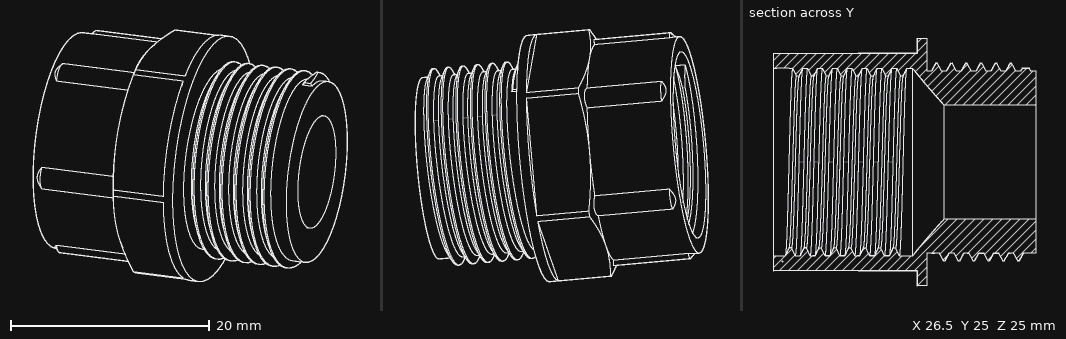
import cadquery as cq
import math

total_length = 26.5
hex_start = 8.55
flange_start = 14.5
flange_end = 15.5
bore_bottom = 14.05
cone_end = 17.22

collar_diameter = 21.97
flange_diameter = 25.0
spigot_diameter = 18.42
hex_chamfer_length = 0.6
corner_count = 6

bore_diameter = 18.9
passage_diameter = 11.45

rib_start = 0.4
rib_height = 0.48
rib_width = 2.33
rib_end_chamfer = 0.53

pitch = 1.5
thread_height = 0.8
thread_base_width = 1.0
male_crest_width = 0.15
female_crest_width = 0.26
thread_overlap = 0.08
end_flat_length = 9.55
thread_end_height = 0.26
male_start = 16.16
male_start_angle = 18.0
male_turns = 6.2
female_start = 0.95
female_start_angle = 90.0
female_turns = 8.25
female_ramp_tilt = 25.0


def cylinder_x(diameter, start, end):
    return cq.Workplane("YZ", origin=(start, 0, 0)).circle(diameter / 2).extrude(end - start)


def frustum_x(start_radius, end_radius, start, end):
    outline = [(start, 0), (end, 0), (end, end_radius), (start, start_radius)]
    return cq.Workplane("XY").polyline(outline).close().revolve(360, (0, 0, 0), (1, 0, 0))


def hexagon():
    """Hexagon with flats facing +Z and -Z, corners trimmed to the flange and a conical front chamfer."""
    across_corners = collar_diameter / math.cos(math.pi / 6)
    prism = (
        cq.Workplane("YZ", origin=(hex_start, 0, 0))
        .polygon(corner_count, across_corners)
        .extrude(flange_start - hex_start)
    )
    chamfer_end = hex_start + hex_chamfer_length
    envelope = frustum_x(collar_diameter / 2, flange_diameter / 2, hex_start, chamfer_end)
    envelope = envelope.union(cylinder_x(flange_diameter, chamfer_end, flange_start))
    return prism.intersect(envelope)


def ribs():
    """Round-topped ribs in line with the hexagon corners, with chamfered front ends."""
    tip_radius = collar_diameter / 2 + rib_height
    half_width = rib_width / 2
    foot_radius = math.sqrt((collar_diameter / 2) ** 2 - half_width**2)
    sagitta = tip_radius - foot_radius
    round_radius = (half_width**2 + sagitta**2) / (2 * sagitta)
    rib = (
        cq.Workplane("YZ", origin=(rib_start, 0, 0))
        .center(tip_radius - round_radius, 0)
        .circle(round_radius)
        .extrude(hex_start + hex_chamfer_length - rib_start)
        .faces("<X")
        .chamfer(rib_end_chamfer)
    )
    group = rib
    for index in range(1, corner_count):
        group = group.union(rib.rotate((0, 0, 0), (1, 0, 0), index * 360 / corner_count))
    return group


def thread_ridge(wall_radius, outward, crest_width, turns, start, start_angle):
    """Right-handed ridge on a wall; outward is 1 for a male thread and -1 for a female one."""
    root = wall_radius - outward * thread_overlap
    crest = wall_radius + outward * thread_height
    half_crest = crest_width / 2
    flank_run = (thread_base_width / 2 - half_crest) / thread_height
    half_root = half_crest + flank_run * (thread_height + thread_overlap)
    path = cq.Wire.makeHelix(pitch, pitch * turns, wall_radius)
    ridge = (
        cq.Workplane("XZ")
        .moveTo(root, -half_root)
        .lineTo(crest, -half_crest)
        .lineTo(crest, half_crest)
        .lineTo(root, half_root)
        .close()
        .sweep(cq.Workplane("XY").add(path), isFrenet=True)
    )
    ridge = ridge.rotate((0, 0, 0), (1, 1, 1), 120)
    return ridge.rotate((0, 0, 0), (1, 0, 0), start_angle).translate((start, 0, 0))


def end_flat(base_radius, position, angle, tilt=0.0):
    """Block one pitch long whose inner face is the flat at a thread's end."""
    depth = 2 * thread_height
    block = cq.Workplane("XY").box(pitch, depth, end_flat_length)
    block = block.translate((0, depth / 2, 0)).rotate((0, 0, 0), (1, 0, 0), tilt)
    block = block.translate((position, base_radius, 0))
    return block.rotate((0, 0, 0), (1, 0, 0), angle)


def male_thread():
    wall_radius = spigot_diameter / 2
    ridge = thread_ridge(wall_radius, 1, male_crest_width, male_turns, male_start, male_start_angle)
    flat_radius = wall_radius + thread_end_height
    male_end = male_start + pitch * male_turns
    end_angle = male_start_angle + 360 * male_turns
    ridge = ridge.cut(end_flat(flat_radius, male_start, male_start_angle))
    return ridge.cut(end_flat(flat_radius, male_end, end_angle))


def female_thread():
    wall_radius = bore_diameter / 2
    ridge = thread_ridge(
        wall_radius, -1, female_crest_width, female_turns, female_start, female_start_angle
    )
    ramp_tilt = 180 + female_ramp_tilt
    return ridge.cut(end_flat(wall_radius, female_start, female_start_angle, ramp_tilt))


body = cylinder_x(collar_diameter, 0, hex_start)
body = body.union(hexagon()).union(ribs())
body = body.union(cylinder_x(flange_diameter, flange_start, flange_end))
body = body.union(cylinder_x(spigot_diameter, flange_end, total_length))
body = body.cut(cylinder_x(bore_diameter, 0, bore_bottom))
body = body.cut(frustum_x(bore_diameter / 2, passage_diameter / 2, bore_bottom, cone_end))
body = body.cut(cylinder_x(passage_diameter, cone_end, total_length))

result = body.union(male_thread()).union(female_thread())